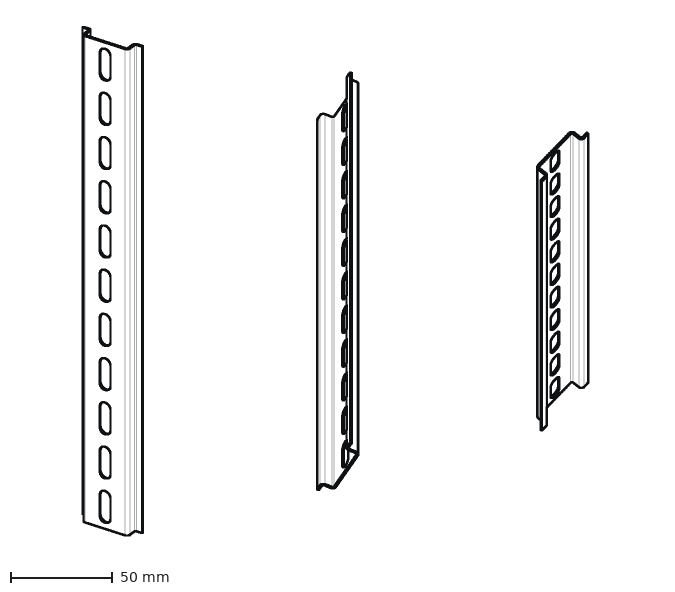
import cadquery as cq

length = 275.0
width = 35.0
depth = 7.5

thickness = 0.95
channel_width = 27.0
inner_bend_radius = 0.8
outer_bend_radius = inner_bend_radius + thickness

slot_count = 11
slot_pitch = length / slot_count
slot_length = 18.0
slot_width = 6.3


def block(x_size, y_min, y_max):
    """Full-length block centred on X and Z."""
    return cq.Workplane("XY").box(x_size, y_max - y_min, length).translate((0, (y_min + y_max) / 2, 0))


def make_rail():
    """Bent sheet: a web at the -Y side, two walls and two outward lips at the +Y side."""
    front = -depth / 2
    back = depth / 2
    lip_front = back - thickness
    channel = block(channel_width, front, back).edges("|Z and <Y").fillet(outer_bend_radius)
    lips = block(width, lip_front, back)
    solid = channel.union(lips)

    wall_x = channel_width / 2
    for side in (-1, 1):
        corner = cq.selectors.BoxSelector(
            (side * wall_x - thickness / 2, lip_front - thickness / 2, -length),
            (side * wall_x + thickness / 2, lip_front + thickness / 2, length),
        )
        solid = solid.edges("|Z").edges(corner).fillet(inner_bend_radius)

    inner_x = wall_x - thickness
    mouth_x = inner_x + outer_bend_radius
    cavity = (
        cq.Workplane("XY")
        .moveTo(-mouth_x, back)
        .radiusArc((-inner_x, back - outer_bend_radius), outer_bend_radius)
        .lineTo(-inner_x, front + outer_bend_radius)
        .radiusArc((-inner_x + inner_bend_radius, front + thickness), -inner_bend_radius)
        .lineTo(inner_x - inner_bend_radius, front + thickness)
        .radiusArc((inner_x, front + outer_bend_radius), -inner_bend_radius)
        .lineTo(inner_x, back - outer_bend_radius)
        .radiusArc((mouth_x, back), outer_bend_radius)
        .close()
        .extrude(length / 2, both=True)
    )
    return solid.cut(cavity)


def make_slots():
    """Upright round-ended slots through the web."""
    return (
        cq.Workplane("XZ")
        .rarray(2.8, slot_pitch, 1, slot_count)
        .slot2D(slot_length, slot_width, 90)
        .extrude(depth, both=True)
    )


result = make_rail().cut(make_slots())